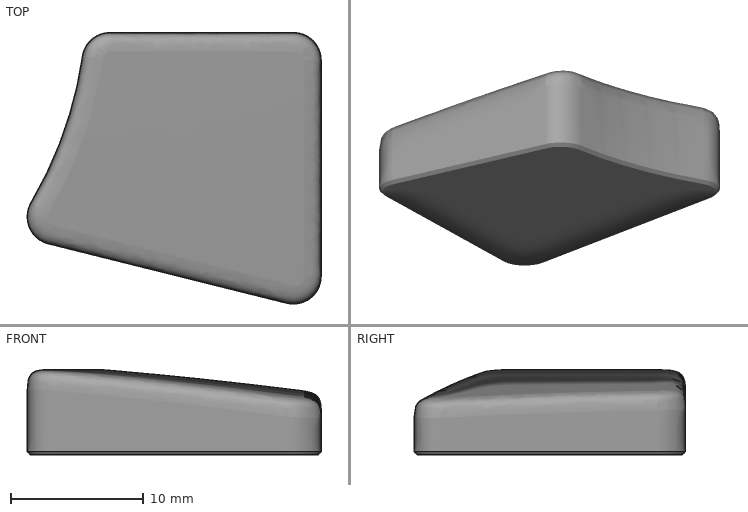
import cadquery as cq
import math

concave_radius = 30.0
right_side_x = 47.785
back_side_y = -2.42
front_side_angle = 14.0
depth = 20.55
corner_radius = 4.25 / 2
base_chamfer = 0.25

dome_radius = 370.0
concave_side_height = 6.58

wall_rim_radius = 1.5
dome_rim_radius = 1.65
rim_fullness = 0.78
sections_per_edge = 7
waste_margin = 1.0

front_slope = -math.tan(math.radians(front_side_angle))
corner_center_x = right_side_x - corner_radius
corner_center_y = back_side_y - depth + corner_radius
front_offset = corner_radius / math.cos(math.radians(front_side_angle))
front_intercept = corner_center_y - front_offset - front_slope * corner_center_x

up = cq.Vector(0, 0, 1)
inside_point = cq.Vector((concave_radius + right_side_x) / 2, back_side_y - depth / 2, 0)
dome_center = up * (concave_side_height - math.sqrt(dome_radius**2 - concave_radius**2))


def front_side_point(x):
    return (x, front_slope * x + front_intercept)


def front_left_corner():
    """Meeting point of the front side and the concave side."""
    a = 1 + front_slope**2
    b = 2 * front_slope * front_intercept
    c = front_intercept**2 - concave_radius**2
    return front_side_point((-b + math.sqrt(b**2 - 4 * a * c)) / (2 * a))


def concave_point(angle):
    return (concave_radius * math.cos(angle), concave_radius * math.sin(angle))


def make_block():
    """Straight-walled body with rounded upright corners, taller than the finished part."""
    front_left = front_left_corner()
    front_left_angle = math.atan2(front_left[1], front_left[0])
    back_left_angle = math.asin(back_side_y / concave_radius)
    middle_angle = (front_left_angle + back_left_angle) / 2
    return (
        cq.Workplane("XY")
        .moveTo(*front_left)
        .threePointArc(concave_point(middle_angle), concave_point(back_left_angle))
        .lineTo(right_side_x, back_side_y)
        .lineTo(*front_side_point(right_side_x))
        .close()
        .extrude(2 * concave_side_height)
        .edges("|Z")
        .fillet(corner_radius)
    )


def rim_section(edge, position):
    """Waste outside the rounding, in the upright plane square to the rim edge at one place."""
    corner = edge.positionAt(position)
    inward = up.cross(edge.tangentAt(position)).normalized()
    if inward.dot(inside_point - corner) < 0:
        inward = inward * -1

    dome_normal = corner - dome_center
    along_dome = (inward - up * (inward.dot(dome_normal) / dome_normal.z)).normalized()
    rim_angle = math.acos(-along_dome.z)
    reach_per_radius = 1 / math.tan(rim_angle / 2)
    on_wall = corner - up * wall_rim_radius * reach_per_radius
    on_dome = corner + along_dome * dome_rim_radius * reach_per_radius

    wall_handle = on_wall + (corner - on_wall) * rim_fullness
    dome_handle = on_dome + (corner - on_dome) * rim_fullness
    rounding = cq.Edge.makeBezier([on_dome, dome_handle, wall_handle, on_wall])

    above = on_dome + up * waste_margin
    beside = on_wall - inward * waste_margin
    above_beside = beside + up * (above.z - beside.z)
    path = [on_wall, beside, above_beside, above, on_dome]
    lines = [cq.Edge.makeLine(start, end) for start, end in zip(path, path[1:])]
    return cq.Wire.assembleEdges(lines + [rounding])


def round_rim(body):
    """Trim each edge of the top rim with a cutter lofted along it."""
    for edge in body.faces(">Z").edges().vals():
        positions = [i / (sections_per_edge - 1) for i in range(sections_per_edge)]
        cutter = cq.Solid.makeLoft([rim_section(edge, position) for position in positions])
        body = body.cut(cq.Workplane(cutter), tol=1e-4)
    return body


def make_part():
    dome = cq.Workplane("XY").sphere(dome_radius).translate(dome_center)
    body = make_block().intersect(dome)
    body = body.faces("<Z").chamfer(base_chamfer)
    return round_rim(body)


result = make_part()